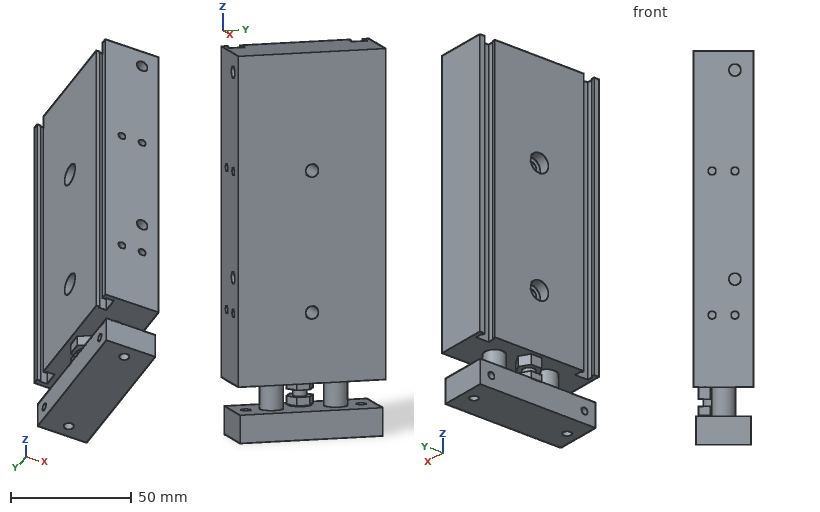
import cadquery as cq
import math


HOUSING_DEPTH = 25.0
HOUSING_WIDTH = 64.0
HOUSING_LENGTH = 140.0

SLOT_OFFSET = 26.6
SLOT_MOUTH_WIDTH = 5.4
SLOT_INNER_WIDTH = 6.7
SLOT_LIP = 1.5
SLOT_DEPTH = 5.0

MOUNT_LEVELS = (30.0, 90.0)
MOUNT_HOLE_DIAMETER = 5.5
COUNTERBORE_DIAMETER = 9.5
COUNTERBORE_DEPTH = 5.4

TAP_DIAMETER = 3.24
SIDE_TAP_DEPTH = 6.0
SIDE_TAP_X = (7.75, 17.25)
PORT_DIAMETER = 5.0
PORT_DEPTH = 8.0
PORT_X = SIDE_TAP_X[1]
PORT_LEVELS = (45.0, 132.0)

PLATE_DEPTH = 23.0
PLATE_WIDTH = 62.0
PLATE_THICKNESS = 12.0
PLATE_GAP = 12.0
PLATE_HOLE_DIAMETER = 4.134
PLATE_HOLE_OFFSET = 25.0
PLATE_TAP_DEPTH = 8.0
ROD_DIAMETER = 10.0
ROD_OFFSET = 14.0

BOLT_X = 7.0
HEX_ACROSS_FLATS = 10.0
HEAD_HEIGHT = 5.0
NUT_HEIGHT = 4.0
SHANK_DIAMETER = 6.0
WASHER_FACE_HEIGHT = 0.4

CENTER_X = HOUSING_DEPTH / 2
PLATE_TOP = -PLATE_GAP
HEX_ACROSS_CORNERS = HEX_ACROSS_FLATS / math.cos(math.radians(30))
SIDES = (-1, 1)


def cylinder(diameter, length, start, direction):
    """Round bar running from a start point along a direction."""
    bar = cq.Solid.makeCylinder(diameter / 2, length, cq.Vector(*start), cq.Vector(*direction))
    return cq.Workplane(bar)


def box_between(x_min, x_max, y_center, width, z_min, z_max):
    """Rectangular block given by its X and Z limits and its Y centre and width."""
    corner = cq.Workplane("XY", origin=(x_min, y_center, z_min))
    return corner.box(x_max - x_min, width, z_max - z_min, centered=(False, True, False))


def t_slot(y_center):
    """T-shaped groove over the full housing length."""
    mouth = box_between(0, SLOT_DEPTH, y_center, SLOT_MOUTH_WIDTH, 0, HOUSING_LENGTH)
    inner = box_between(SLOT_LIP, SLOT_DEPTH, y_center, SLOT_INNER_WIDTH, 0, HOUSING_LENGTH)
    return mouth.union(inner)


def make_housing():
    """Block with two T-slots, counterbored mounting holes, tapped holes and ports."""
    body = box_between(0, HOUSING_DEPTH, 0, HOUSING_WIDTH, 0, HOUSING_LENGTH)
    side_face_y = -HOUSING_WIDTH / 2
    for side in SIDES:
        body = body.cut(t_slot(side * SLOT_OFFSET))
    for z in MOUNT_LEVELS:
        body = body.cut(cylinder(MOUNT_HOLE_DIAMETER, HOUSING_DEPTH, (0, 0, z), (1, 0, 0)))
        body = body.cut(cylinder(COUNTERBORE_DIAMETER, COUNTERBORE_DEPTH, (0, 0, z), (1, 0, 0)))
        for x in SIDE_TAP_X:
            body = body.cut(cylinder(TAP_DIAMETER, SIDE_TAP_DEPTH, (x, side_face_y, z), (0, 1, 0)))
    for z in PORT_LEVELS:
        body = body.cut(cylinder(PORT_DIAMETER, PORT_DEPTH, (PORT_X, side_face_y, z), (0, 1, 0)))
    return body


def make_rod_plate():
    """End plate with its two guide rods, which reach up to the housing."""
    plate_bottom = PLATE_TOP - PLATE_THICKNESS
    plate_front = CENTER_X - PLATE_DEPTH / 2
    plate_back = CENTER_X + PLATE_DEPTH / 2
    plate_middle = (PLATE_TOP + plate_bottom) / 2
    body = box_between(plate_front, plate_back, 0, PLATE_WIDTH, plate_bottom, PLATE_TOP)
    for side in SIDES:
        rod_start = (CENTER_X, side * ROD_OFFSET, PLATE_TOP)
        body = body.union(cylinder(ROD_DIAMETER, PLATE_GAP, rod_start, (0, 0, 1)))
        hole_y = side * PLATE_HOLE_OFFSET
        hole_start = (CENTER_X, hole_y, plate_bottom)
        body = body.cut(cylinder(PLATE_HOLE_DIAMETER, PLATE_THICKNESS, hole_start, (0, 0, 1)))
        body = body.cut(cylinder(TAP_DIAMETER, PLATE_TAP_DEPTH, (plate_front, hole_y, plate_middle), (1, 0, 0)))
    return body


def hexagon(z_min, height):
    """Hexagonal prism on the bolt axis with two flats square to X."""
    return (
        cq.Workplane("XY", origin=(BOLT_X, 0, z_min))
        .transformed(rotate=(0, 0, 90))
        .polygon(6, HEX_ACROSS_CORNERS)
        .extrude(height)
    )


def make_stopper_bolt():
    """Bolt with its head against the housing and a lock nut whose round face sits on the plate."""
    head = hexagon(-HEAD_HEIGHT, HEAD_HEIGHT)
    shank = cylinder(SHANK_DIAMETER, PLATE_GAP, (BOLT_X, 0, PLATE_TOP), (0, 0, 1))
    washer_face = cylinder(HEX_ACROSS_FLATS, WASHER_FACE_HEIGHT, (BOLT_X, 0, PLATE_TOP), (0, 0, 1))
    nut = hexagon(PLATE_TOP + WASHER_FACE_HEIGHT, NUT_HEIGHT - WASHER_FACE_HEIGHT)
    return head.union(shank).union(nut).union(washer_face)


housing = make_housing()
rod_plate = make_rod_plate()
stopper_bolt = make_stopper_bolt()

result = cq.Compound.makeCompound([housing.val(), rod_plate.val(), stopper_bolt.val()])